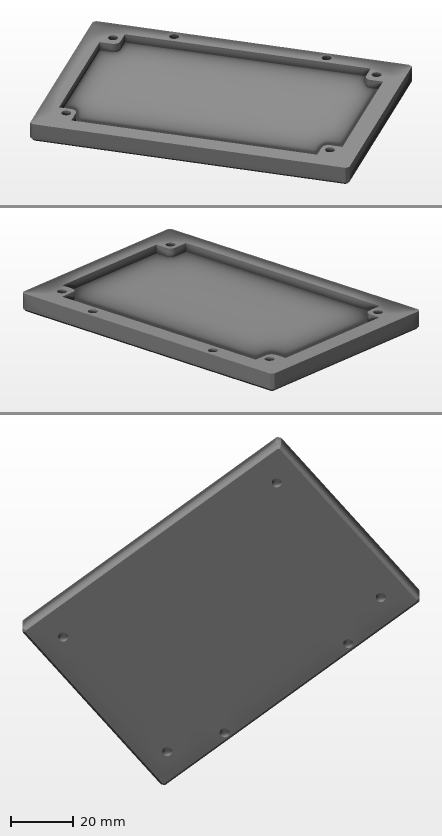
import cadquery as cq

length = 106.7
width = 72.6
height = 6.4
edge_break = 1.0

wall = 6.0
recess_depth = 3.0
post_length = 6.3
post_width = 7.4
post_radius = 2.2

hole_diameter = 3.2
corner_hole_x = 44.1
corner_hole_back_y = 27.0
corner_hole_front_y = -26.0
rear_hole_x = 25.5
rear_hole_y = width / 2 - wall / 2

recess_length = length - 2 * wall
recess_width = width - 2 * wall


def make_plate():
    """Plate with chamfered upright corners and a chamfered bottom rim."""
    plate = cq.Workplane("XY").box(length, width, height, centered=(True, True, False))
    plate = plate.edges("|Z").chamfer(edge_break)
    return plate.faces("<Z").edges().chamfer(edge_break)


def make_recess():
    """Cross-shaped cutter; rounding its inner corners rounds the posts."""
    centered = (True, True, False)
    floor = cq.Workplane("XY").workplane(offset=height - recess_depth)
    long_bar = floor.box(recess_length, recess_width - 2 * post_width, recess_depth, centered=centered)
    wide_bar = floor.box(recess_length - 2 * post_length, recess_width, recess_depth, centered=centered)
    post_corner_x = recess_length / 2 - post_length
    post_corner_y = recess_width / 2 - post_width
    cross = long_bar.union(wide_bar)
    for x in (-post_corner_x, post_corner_x):
        for y in (-post_corner_y, post_corner_y):
            post_edge = cq.NearestToPointSelector((x, y, height - recess_depth / 2))
            cross = cross.edges(post_edge).fillet(post_radius)
    return cross


def make_holes():
    """Cutters for the four corner holes and the two holes in the rear wall."""
    centers = []
    for side in (-1, 1):
        centers.append((side * corner_hole_x, corner_hole_back_y))
        centers.append((side * corner_hole_x, corner_hole_front_y))
        centers.append((side * rear_hole_x, rear_hole_y))
    return cq.Workplane("XY").pushPoints(centers).circle(hole_diameter / 2).extrude(height)


result = make_plate().cut(make_recess()).cut(make_holes())